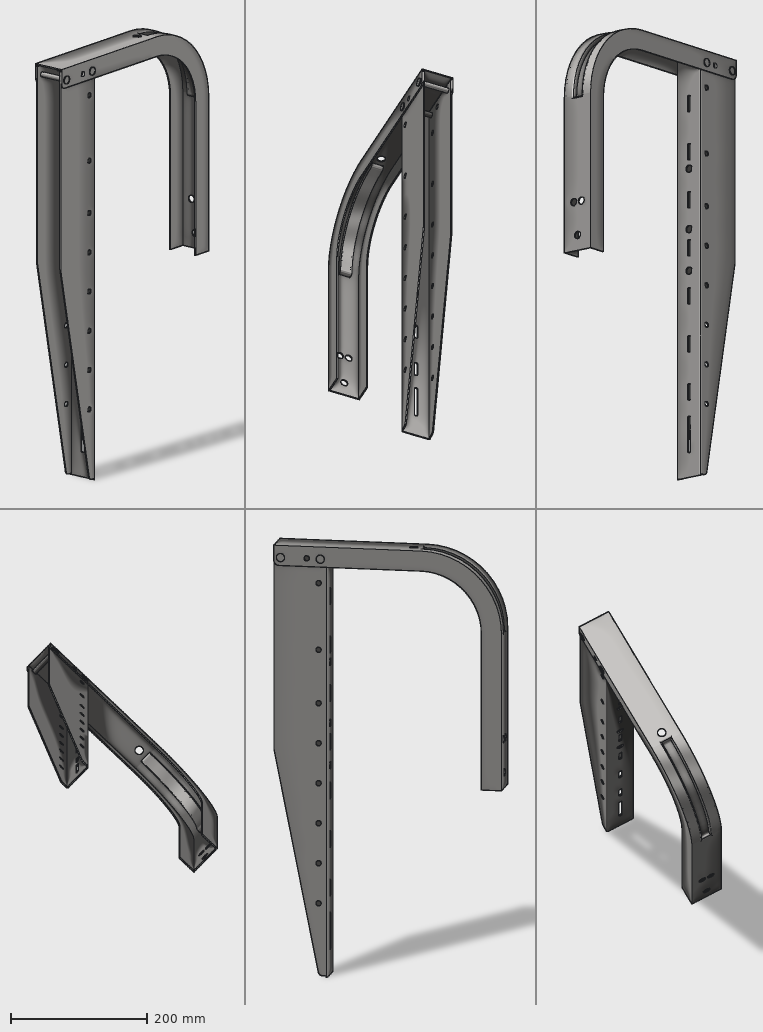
import cadquery as cq
import math

height = 645.0
sheet = 2.0

arm_width = 49.5
arm_reach = 340.0
arm_depth = 30.0
bend_radius = 120.0
leg_length = 355.0
flange_corner_radius = 8.0
bend_center_y = arm_reach - bend_radius
bend_center_z = height - bend_radius

groove_width = 14.0
groove_depth = 7.0
groove_overrun = 0.5
groove_end_radius = 3.0
rib_end_radius = 5.0
groove_rim_radius = 3.0

post_width = arm_width - 2 * sheet
post_depth = 80.0
post_top_gap = 4.0
post_top = height - post_top_gap
post_fold_radius = 2.5
taper_start = 306.5
tip_depth = 13.0
tip_radius = 6.5
flange_foot_gap = 2.0

tolerance = 0.05

pin_drop = 18.0
pin_places = (10.0, 69.5)
pin_diameter = 8.0
pin_head_diameter = 12.0
pin_length = 53.0

side_hole_diameter = 8.0
flange_hole_y = 66.5
flange_hole_drops = (55.0, 155.0, 235.0, 295.0, 355.0, 415.0, 475.0, 535.0)
arm_side_hole_y = 49.0

slot_width = 5.2
slot_length = 25.0
slot_count = 7
slot_pitch = 73.0
first_slot_drop = 78.0
long_slot_length = 55.5
long_slot_drop = 580.0

web_hole_diameter = 11.0
post_hole_drops = (177.0, 268.0)
shared_hole_drop = 331.5
leg_pair_drop = 280.5
leg_pair_offset = 7.0

top_hole_diameter = 12.0
top_hole_setback = 135.5
top_hole_y = arm_reach - top_hole_setback


def extrude_across(outline, width):
    """Extrude a YZ outline symmetrically about the middle plane X = 0."""
    return outline.extrude(width / 2, both=True)


def cylinder_across(diameter, length, y, drop):
    """Cylinder along X, centred on the middle plane."""
    outline = cq.Workplane("YZ").center(y, height - drop).circle(diameter / 2)
    return extrude_across(outline, length)


def cylinder_along_y(x, drop, start, end):
    """Cutter for a round web hole along Y, between two Y places."""
    outline = cq.Workplane("XZ", origin=(x, start, height - drop)).circle(web_hole_diameter / 2)
    return outline.extrude(start - end)


def upright_slot(length, drop):
    """Cutter for a vertical slot through the post web."""
    outline = cq.Workplane("XZ", origin=(0, post_depth + sheet, height - drop))
    return outline.slot2D(length, slot_width, 90).extrude(3 * sheet)


def bend_strip(inset, depth, width):
    """Quarter ring around the bend; inset is measured inward from the hook's outer surface."""
    outline = (
        cq.Workplane("XZ", origin=(0, bend_center_y, bend_center_z))
        .center(0, bend_radius - inset - depth / 2)
        .rect(width, depth)
    )
    axis_drop = inset + depth / 2 - bend_radius
    return outline.revolve(90, (6.5, axis_drop), (-6.5, axis_drop))


def hook_strip(inset, depth, width, front_run, leg_run):
    """Bend strip continued by a straight run at the front and another down the leg."""
    front = cq.Workplane("XY").box(width, front_run, depth).translate(
        (0, bend_center_y - front_run / 2, height - inset - depth / 2)
    )
    leg = cq.Workplane("XY").box(width, depth, leg_run).translate(
        (0, arm_reach - inset - depth / 2, bend_center_z - leg_run / 2)
    )
    return bend_strip(inset, depth, width).union(front).union(leg)


def is_on_groove_rim(edge):
    """True for an edge of the groove mouth, which lies on the hook's outer surface."""
    middle = edge.positionAt(0.5)
    past_bend_y = max(middle.y - bend_center_y, 0)
    past_bend_z = max(middle.z - bend_center_z, 0)
    inset = bend_radius - math.hypot(past_bend_y, past_bend_z)
    across_groove = abs(middle.x) < groove_width / 2 + tolerance
    at_arm_ends = middle.y < tolerance or middle.z < height - leg_length + tolerance
    return across_groove and abs(inset) < tolerance and not at_arm_ends


def round_strip_ends(arm, inset, run, radius):
    """Fillet the two end edges of the groove floor, or of the rib face, found by their depth."""
    front_end = cq.selectors.NearestToPointSelector((0, bend_center_y - run, height - inset))
    leg_end = cq.selectors.NearestToPointSelector((0, arm_reach - inset, bend_center_z - run))
    return arm.edges("|X").edges(front_end + leg_end).fillet(radius)


def make_arm():
    leg_run = leg_length - bend_radius
    arm = hook_strip(0, arm_depth, arm_width, bend_center_y, leg_run)
    front_corner = cq.selectors.NearestToPointSelector((0, 0, height - arm_depth))
    arm = arm.edges("|X").edges(front_corner).fillet(flange_corner_radius)
    arm = arm.cut(hook_strip(sheet, arm_depth, post_width, bend_center_y, leg_run))

    rib_run = groove_overrun + sheet
    rib_width = groove_width + 2 * sheet
    arm = arm.union(hook_strip(0, groove_depth + sheet, rib_width, rib_run, rib_run))
    arm = arm.cut(hook_strip(0, groove_depth, groove_width, groove_overrun, groove_overrun))
    arm = round_strip_ends(arm, groove_depth, groove_overrun, groove_end_radius)
    arm = round_strip_ends(arm, groove_depth + sheet, rib_run, rib_end_radius)
    return arm.edges().filter(is_on_groove_rim).fillet(groove_rim_radius)


def make_post():
    tip_y = post_depth - tip_depth
    side = (
        cq.Workplane("YZ")
        .moveTo(0, post_top)
        .lineTo(post_depth, post_top)
        .lineTo(post_depth, flange_foot_gap)
        .lineTo(tip_y, flange_foot_gap)
        .lineTo(0, height - taper_start)
        .close()
    )
    post = extrude_across(side, post_width)
    tip = cq.selectors.NearestToPointSelector((0, tip_y, flange_foot_gap))
    post = post.edges("|X").edges(tip).fillet(tip_radius)
    inner_width = post_width - 2 * sheet
    inside = cq.Workplane("XY").box(inner_width, post_depth - sheet, height, centered=(True, False, False))
    web = (
        cq.Workplane("XY")
        .box(post_width, sheet, post_top, centered=(True, False, False))
        .translate((0, post_depth - sheet, 0))
    )
    post = post.cut(inside).union(web)
    return post.edges("|Z and >Y").fillet(post_fold_radius)


def cut_side_holes(bracket):
    """Holes along X, through both flanges."""
    for drop in flange_hole_drops:
        bracket = bracket.cut(cylinder_across(side_hole_diameter, pin_length, flange_hole_y, drop))
    return bracket.cut(cylinder_across(side_hole_diameter, pin_length, arm_side_hole_y, pin_drop))


def cut_web_openings(bracket):
    """Slots and round holes in the post web, the leg web and the arm web."""
    for index in range(slot_count):
        bracket = bracket.cut(upright_slot(slot_length, first_slot_drop + index * slot_pitch))
    bracket = bracket.cut(upright_slot(long_slot_length, long_slot_drop))

    behind_post = post_depth + sheet
    behind_leg = arm_reach + sheet
    for drop in post_hole_drops:
        bracket = bracket.cut(cylinder_along_y(0, drop, 0, behind_post))
    for x in (-leg_pair_offset, leg_pair_offset):
        bracket = bracket.cut(cylinder_along_y(x, leg_pair_drop, behind_post, behind_leg))
    bracket = bracket.cut(cylinder_along_y(0, shared_hole_drop, 0, behind_leg))

    top_hole = cq.Workplane("XY", origin=(0, top_hole_y, height)).circle(top_hole_diameter / 2)
    return bracket.cut(top_hole.extrude(-arm_depth))


def add_pins(bracket):
    """Cross pins, with a shallow head outside each arm flange."""
    for y in pin_places:
        bracket = bracket.union(cylinder_across(pin_diameter, pin_length, y, pin_drop))
        heads = cylinder_across(pin_head_diameter, pin_length, y, pin_drop)
        heads = heads.cut(cylinder_across(pin_head_diameter, arm_width, y, pin_drop))
        bracket = bracket.union(heads)
    return bracket


bracket = make_arm().union(make_post())
bracket = cut_side_holes(bracket)
bracket = cut_web_openings(bracket)
result = add_pins(bracket)